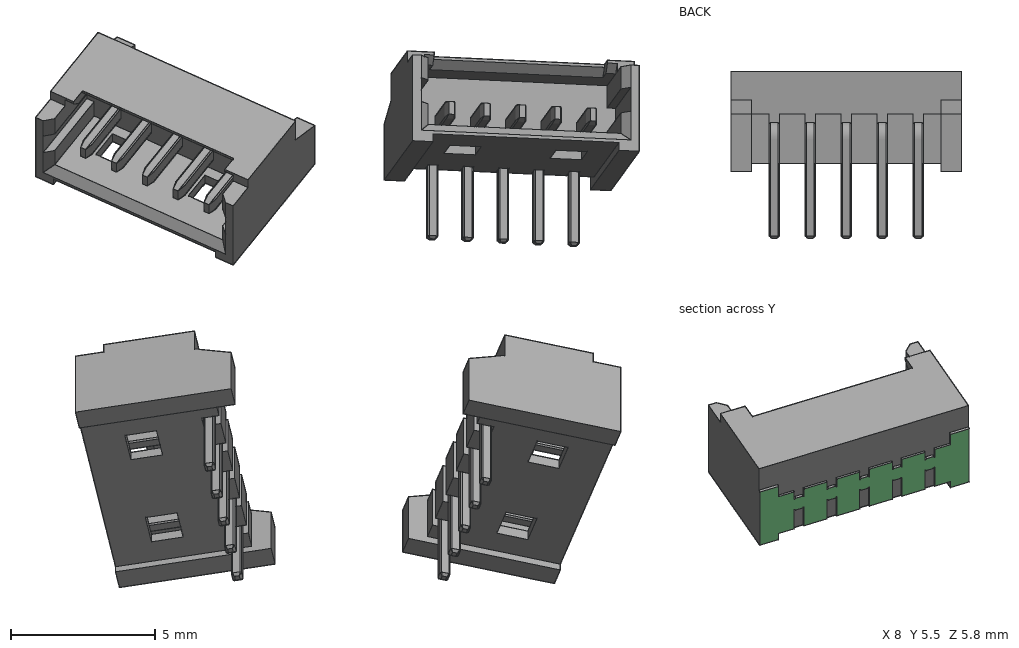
import cadquery as cq
import math


width = 8.0
depth = 5.5
height = 3.48
overall_height = 5.8
mouth_step_depth = 1.0
mouth_step_drop = 0.4
wing_length = 1.3
wing_root_height = 2.5
wing_tip_height = 2.0
foot_width = 0.72
foot_height = 0.28

block_length = 0.61

wall = 0.6
floor_top = 0.69
roof_bottom = height - mouth_step_drop
cavity_depth = 2.94
lead_in = 0.3
groove_bottom = 1.42
groove_height = 0.86
roof_notch_width = 6.11
roof_notch_depth = 1.6

window_width = 1.1
window_front = 1.44
window_length = 1.12

pin_count = 5
pin_pitch = 1.25
pin_width = 0.36
pin_bevel = 0.05
contact_top = 1.74
contact_height = 0.62
contact_tip_y = 0.7
contact_tip_length = 0.3
contact_tip_inset = 0.08
leg_drop = overall_height - height
leg_thickness = 0.36
leg_back_inset = 0.86
leg_tip_length = 0.09
leg_tip_inset = 0.1
bend_radius = 0.61

leg_back_y = depth - leg_back_inset
body_back = depth - wing_length
inner_width = width - 2 * wall
mouth_width = inner_width + 2 * lead_in
gap_width = width - 2 * foot_width
pin_positions = [(i - (pin_count - 1) / 2) * pin_pitch for i in range(pin_count)]


def box(size_x, y_start, y_end, z_start, z_end, x_center=0):
    """Block centred on x_center and spanning the given Y and Z ranges."""
    return (
        cq.Workplane("XY")
        .box(size_x, y_end - y_start, z_end - z_start, centered=(True, False, False))
        .translate((x_center, y_start, z_start))
    )


def side_prism(points, size_x):
    """Prism with a (Y, Z) outline, centred on X = 0."""
    return cq.Workplane("YZ").polyline(points).close().extrude(size_x / 2, both=True)


def outer_body():
    """Solid housing with feet, wings and the slotted block between the wings."""
    body = side_prism(
        [
            (0, 0),
            (depth, 0),
            (depth, wing_tip_height),
            (body_back, wing_root_height),
            (body_back, height),
            (mouth_step_depth, height),
            (mouth_step_depth, roof_bottom),
            (0, roof_bottom),
        ],
        width,
    )
    body = body.cut(box(gap_width, 0, depth, 0, foot_height))
    body = body.cut(box(gap_width, body_back + block_length, depth, 0, height))
    body = body.cut(box(gap_width, body_back, depth, wing_tip_height, height))
    for x in pin_positions:
        body = body.cut(box(pin_width, body_back, depth, 0, height, x))
    return body


def roof_lead_in(front_y, size_x):
    """Wedge that bevels the lower front edge of the roof at front_y."""
    return side_prism(
        [
            (front_y, roof_bottom),
            (front_y, roof_bottom + lead_in),
            (front_y + lead_in, roof_bottom),
        ],
        size_x,
    )


def mouth_lead_in():
    """Bevels of the floor and the side walls at the mouth."""
    floor_wedge_bottom = floor_top - lead_in
    plan = [
        (-mouth_width / 2, 0),
        (mouth_width / 2, 0),
        (inner_width / 2, lead_in),
        (-inner_width / 2, lead_in),
    ]
    sides = (
        cq.Workplane("XY")
        .workplane(offset=floor_wedge_bottom)
        .polyline(plan)
        .close()
        .extrude(roof_bottom - floor_wedge_bottom)
    )
    profile = [
        (0, floor_wedge_bottom),
        (0, roof_bottom),
        (lead_in, roof_bottom),
        (lead_in, floor_top),
    ]
    return sides.intersect(side_prism(profile, mouth_width))


def cut_cavity(body):
    """Open the mouth, the side grooves, the roof notch and the floor windows."""
    body = body.cut(box(inner_width, 0, cavity_depth, floor_top, roof_bottom))
    body = body.cut(mouth_lead_in())
    body = body.cut(box(mouth_width, 0, cavity_depth, groove_bottom, groove_bottom + groove_height))
    body = body.cut(box(roof_notch_width, 0, roof_notch_depth, roof_bottom, height))
    body = body.cut(roof_lead_in(mouth_step_depth, inner_width))
    body = body.cut(roof_lead_in(roof_notch_depth, roof_notch_width))
    window_offset = (pin_positions[-1] + pin_positions[-2]) / 2
    for x in (-window_offset, window_offset):
        body = body.cut(box(window_width, window_front, window_front + window_length, 0, floor_top, x))
    return body


def bent_pin():
    """Pin at X = 0: flat contact along Y, rounded bend, leg along -Z."""
    contact_start = contact_tip_y + contact_tip_length
    contact_bottom = contact_top - contact_height
    leg_front_y = leg_back_y - leg_thickness
    leg_end = leg_tip_length - leg_drop
    diagonal = bend_radius * math.sqrt(0.5)
    bend_y = leg_back_y - bend_radius
    bend_z = contact_top - bend_radius
    bar = (
        cq.Workplane("YZ")
        .moveTo(contact_start, contact_bottom)
        .lineTo(contact_start, contact_top)
        .lineTo(bend_y, contact_top)
        .threePointArc((bend_y + diagonal, bend_z + diagonal), (leg_back_y, bend_z))
        .lineTo(leg_back_y, leg_end)
        .lineTo(leg_front_y, leg_end)
        .lineTo(leg_front_y, contact_bottom)
        .close()
        .extrude(pin_width / 2, both=True)
    )
    long_edges = bar.faces("<X or >X").edges("not(<Y or <Z)")
    bar = long_edges.chamfer(pin_bevel)
    contact_taper = math.degrees(math.atan(contact_tip_inset / contact_tip_length))
    leg_taper = math.degrees(math.atan(leg_tip_inset / leg_tip_length))
    contact_tip = bar.faces("<Y").wires().toPending().workplane().extrude(
        contact_tip_length, taper=contact_taper, combine=False
    )
    leg_tip = bar.faces("<Z").wires().toPending().workplane().extrude(
        leg_tip_length, taper=leg_taper, combine=False
    )
    return bar.union(contact_tip).union(leg_tip)


result = cut_cavity(outer_body())
pin = bent_pin()
for x in pin_positions:
    result = result.union(pin.translate((x, 0, 0)))